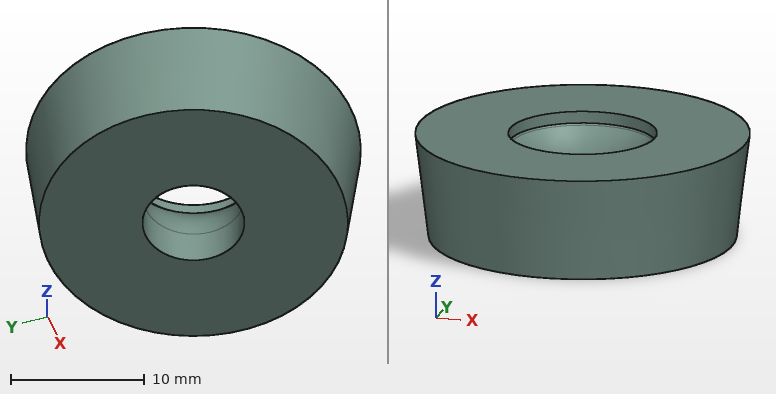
import cadquery as cq
import math

top_diameter = 25.0
height = 7.95
clearance_angle = 7.0
hole_diameter = 7.6
recess_diameter = 11.1
recess_depth = 0.9
bevel_depth = 0.12
seat_diameter = 10.9
seat_radius = 5.75

top_radius = top_diameter / 2
bottom_radius = top_radius - height * math.tan(math.radians(clearance_angle))
hole_radius = hole_diameter / 2
recess_radius = recess_diameter / 2
seat_top_radius = seat_diameter / 2

arc_center_r = hole_radius + seat_radius
recess_bottom_z = height - recess_depth
seat_top_z = recess_bottom_z - bevel_depth
seat_end_z = seat_top_z - math.sqrt(seat_radius**2 - (arc_center_r - seat_top_radius) ** 2)
arc_mid_angle = math.asin((seat_top_z - seat_end_z) / seat_radius) / 2
arc_mid = (
    arc_center_r - seat_radius * math.cos(arc_mid_angle),
    seat_end_z + seat_radius * math.sin(arc_mid_angle),
)

result = (
    cq.Workplane("XZ")
    .moveTo(hole_radius, 0)
    .lineTo(bottom_radius, 0)
    .lineTo(top_radius, height)
    .lineTo(recess_radius, height)
    .lineTo(recess_radius, recess_bottom_z)
    .lineTo(seat_top_radius, seat_top_z)
    .threePointArc(arc_mid, (hole_radius, seat_end_z))
    .close()
    .revolve(360, (0, 0, 0), (0, 1, 0))
)